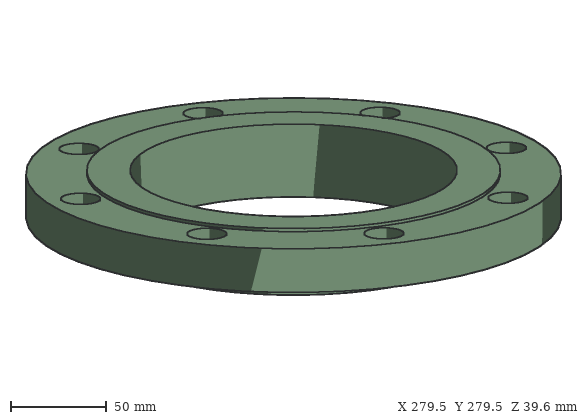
import cadquery as cq

flange_diameter = 279.5
flange_thickness = 23.7

face_diameter = 216.0
face_height = 1.7
hub_diameter = 192.8
hub_height = 14.2

bore_diameter = 170.7

bolt_count = 8
bolt_circle_diameter = 241.5
bolt_hole_diameter = 20.7
first_bolt_angle = 360 / bolt_count / 2

hub = cq.Workplane("XY").circle(hub_diameter / 2).extrude(hub_height)
plate = hub.faces(">Z").workplane().circle(flange_diameter / 2).extrude(flange_thickness)
body = plate.faces(">Z").workplane().circle(face_diameter / 2).extrude(face_height)

total_height = hub_height + flange_thickness + face_height
bore = cq.Workplane("XY").circle(bore_diameter / 2).extrude(total_height)

bolt_holes = (
    cq.Workplane("XY")
    .polarArray(bolt_circle_diameter / 2, first_bolt_angle, 360, bolt_count)
    .circle(bolt_hole_diameter / 2)
    .extrude(total_height)
)

result = body.cut(bore).cut(bolt_holes)